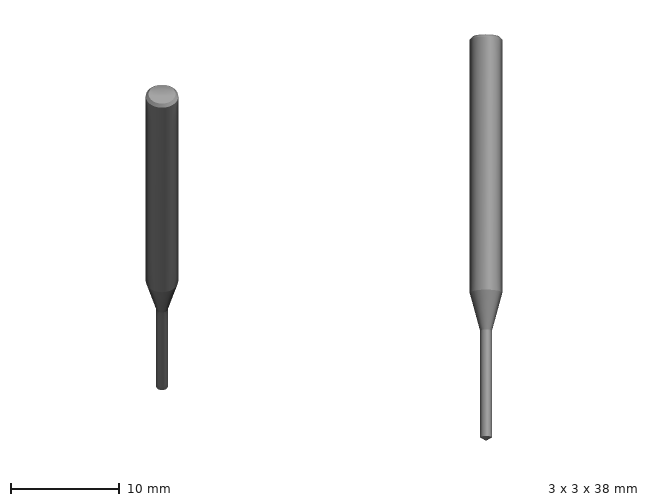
import cadquery as cq
import math

total_length = 38.0
shank_diameter = 3.0

taper_start_height = 13.9
taper_half_angle = 15.0
end_chamfer = 0.25
collar_height = 0.15

drill_diameter = 1.1
point_angle = 118.0

shank_radius = shank_diameter / 2
drill_radius = drill_diameter / 2
point_height = drill_radius / math.tan(math.radians(point_angle / 2))
taper_height = (shank_radius - drill_radius) / math.tan(math.radians(taper_half_angle))
taper_end_height = taper_start_height - taper_height
joint_height = taper_end_height - collar_height


def revolve_profile(points):
    """Turn a closed (radius, height) outline about the Z axis into a solid."""
    return cq.Workplane("XZ").polyline(points).close().revolve(360, (0, 0), (0, 1))


def make_shank():
    """Chamfered cylinder tapering down to a short collar of the drill's diameter."""
    return revolve_profile([
        (0, joint_height),
        (drill_radius, joint_height),
        (drill_radius, taper_end_height),
        (shank_radius, taper_start_height),
        (shank_radius, total_length - end_chamfer),
        (shank_radius - end_chamfer, total_length),
        (0, total_length),
    ])


def make_drill():
    """Slim rod with a conical point, butted against the end of the shank."""
    return revolve_profile([
        (0, 0),
        (drill_radius, point_height),
        (drill_radius, joint_height),
        (0, joint_height),
    ])


shank = make_shank()
drill = make_drill()

result = cq.Compound.makeCompound([shank.val(), drill.val()])